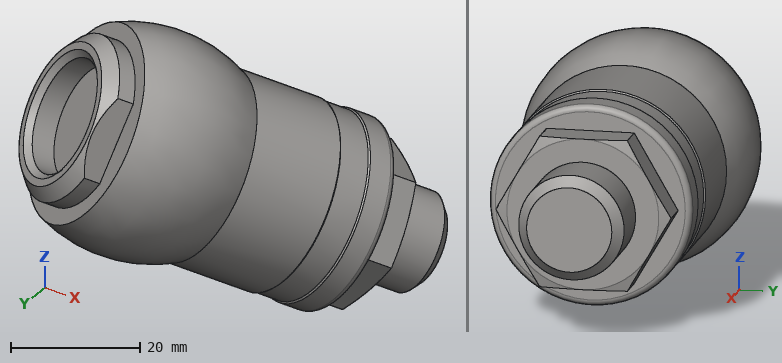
import cadquery as cq
import math

NOSE_CHAMFER = 2.0
GRIP_START = 4.85
GRIP_END = 25.85
BAND_START = 41.2
BAND_END = 46.75
BODY_END = 51.5
HEX_END = 57.0
TOTAL_LENGTH = 67.0

NOSE_DIAMETER = 27.5
NOSE_FLAT_WIDTH = 24.0
NOSE_FLAT_ANGLE = 45.0
GRIP_MAX_DIAMETER = 37.0
GRIP_FRONT_DIAMETER = 33.0
BODY_DIAMETER = 32.0
BAND_DIAMETER = 31.5
BAND_WALL_LENGTH = 0.25
BODY_FILLET = 1.0
STUB_DIAMETER = 16.66
STUB_CHAMFER = 1.6

HEX_SIDES = 6
HEX_WIDTH = 24.0
HEX_CHAMFER_ANGLE = 15.0

SOCKET_DIAMETER = 19.0
SOCKET_MOUTH_DIAMETER = 21.0
SOCKET_MOUTH_DEPTH = 1.0
SOCKET_DEPTH = 5.0


def cylinder(start, end, diameter):
    """Cylinder on the X axis between two stations."""
    return cq.Workplane("YZ", origin=(start, 0, 0)).circle(diameter / 2).extrude(end - start)


def revolve_about_x(profile):
    """Full revolution of a closed XY profile about the X axis."""
    return profile.close().revolve(360, (0, 0, 0), (1, 0, 0))


def make_nose():
    """Chamfered collar with two flats facing the +Y+Z and -Y-Z diagonals."""
    collar = cylinder(0, GRIP_START, NOSE_DIAMETER).faces("<X").chamfer(NOSE_CHAMFER)
    flats = (
        cq.Workplane("YZ")
        .transformed(rotate=(0, 0, NOSE_FLAT_ANGLE))
        .rect(NOSE_FLAT_WIDTH, 2 * NOSE_DIAMETER)
        .extrude(GRIP_START)
    )
    return collar.intersect(flats)


def make_grip():
    """Barrel-shaped grip whose crown is one circular arc."""
    front_radius = GRIP_FRONT_DIAMETER / 2
    body_radius = BODY_DIAMETER / 2
    crown_radius = GRIP_MAX_DIAMETER / 2
    front_drop = crown_radius - front_radius
    back_drop = crown_radius - body_radius
    span_ratio = math.sqrt(front_drop / back_drop)
    crown_x = GRIP_START + (GRIP_END - GRIP_START) * span_ratio / (1 + span_ratio)
    profile = (
        cq.Workplane("XY")
        .moveTo(GRIP_START, 0)
        .lineTo(GRIP_START, front_radius)
        .threePointArc((crown_x, crown_radius), (GRIP_END, body_radius))
        .lineTo(GRIP_END, 0)
    )
    return revolve_about_x(profile)


def make_body():
    """Cylindrical sleeve with a shallow recessed band and a rounded rear edge."""
    sleeve = cylinder(GRIP_END, BODY_END, BODY_DIAMETER).faces(">X").edges().fillet(BODY_FILLET)
    return sleeve.cut(make_band_recess())


def make_band_recess():
    """Ring around the sleeve with sloped end walls, narrowing towards the band floor."""
    outer_radius = BODY_DIAMETER / 2
    floor_radius = BAND_DIAMETER / 2
    profile = (
        cq.Workplane("XY")
        .moveTo(BAND_START, outer_radius)
        .lineTo(BAND_START + BAND_WALL_LENGTH, floor_radius)
        .lineTo(BAND_END - BAND_WALL_LENGTH, floor_radius)
        .lineTo(BAND_END, outer_radius)
    )
    return revolve_about_x(profile)


def make_hexagon():
    """Wrench hexagon with its rear corners turned down to the width across flats."""
    corner_diameter = HEX_WIDTH / math.cos(math.pi / HEX_SIDES)
    prism = (
        cq.Workplane("YZ", origin=(BODY_END, 0, 0))
        .polygon(HEX_SIDES, corner_diameter)
        .extrude(HEX_END - BODY_END)
    )
    corner_radius = corner_diameter / 2
    flat_radius = HEX_WIDTH / 2
    chamfer_length = (corner_radius - flat_radius) * math.tan(math.radians(HEX_CHAMFER_ANGLE))
    turned_envelope = revolve_about_x(
        cq.Workplane("XY")
        .moveTo(BODY_END, 0)
        .lineTo(BODY_END, corner_radius)
        .lineTo(HEX_END - chamfer_length, corner_radius)
        .lineTo(HEX_END, flat_radius)
        .lineTo(HEX_END, 0)
    )
    return prism.intersect(turned_envelope)


def make_stub():
    """Chamfered round connecting stub at the rear."""
    return cylinder(HEX_END, TOTAL_LENGTH, STUB_DIAMETER).faces(">X").chamfer(STUB_CHAMFER)


def make_socket():
    """Blind socket with a conical mouth."""
    profile = (
        cq.Workplane("XY")
        .lineTo(0, SOCKET_MOUTH_DIAMETER / 2)
        .lineTo(SOCKET_MOUTH_DEPTH, SOCKET_DIAMETER / 2)
        .lineTo(SOCKET_DEPTH, SOCKET_DIAMETER / 2)
        .lineTo(SOCKET_DEPTH, 0)
    )
    return revolve_about_x(profile)


outside = make_nose().union(make_grip()).union(make_body()).union(make_hexagon()).union(make_stub())
result = outside.cut(make_socket())